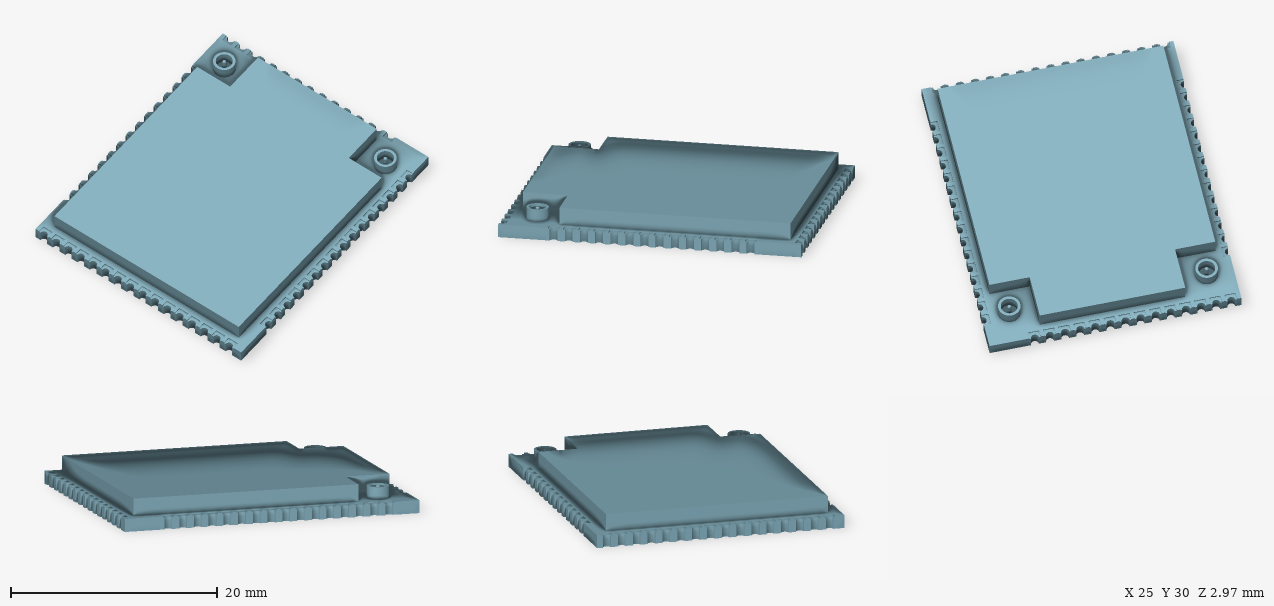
import cadquery as cq

BOARD_WIDTH = 25.0
BOARD_LENGTH = 30.0
BOARD_THICKNESS = 1.3
TOTAL_HEIGHT = 2.97
HALF_WIDTH = BOARD_WIDTH / 2
HALF_LENGTH = BOARD_LENGTH / 2

SHIELD_SIDE_MARGIN = 1.3
SHIELD_END_MARGIN = 1.32
SHIELD_HEIGHT = TOTAL_HEIGHT - BOARD_THICKNESS
SHIELD_CUT_WIDTH = 4.0
SHIELD_CUT_LENGTH = 4.47

CONNECTOR_SIDE_OFFSET = 2.7
CONNECTOR_REAR_OFFSET = 3.33
CONNECTOR_DIAMETER = 2.2
CONNECTOR_BORE_DIAMETER = 1.65
CONNECTOR_HEIGHT = 1.17
PIN_DIAMETER = 0.4
PIN_HEIGHT = CONNECTOR_HEIGHT
PIN_TIP_RADIUS = 0.12

PAD_PITCH = 1.5
PAD_WIDTH = 1.1
PAD_LENGTH = 0.7
PAD_RECESS = 0.12
NOTCH_RADIUS = 0.4
SHORT_ROW_COUNT = 14
LONG_ROW_COUNT = 16
END_ROW_FIRST_OFFSET = 1.0
LEFT_ROW_FIRST_OFFSET = 5.0
RIGHT_ROW_FIRST_OFFSET = 4.45


def row_positions(first, count):
    """Pad centres along one edge."""
    return [first + PAD_PITCH * i for i in range(count)]


def pad_centres():
    """Points on the board edges: those on the left and right, then those on the front and rear."""
    left = row_positions(LEFT_ROW_FIRST_OFFSET - HALF_LENGTH, SHORT_ROW_COUNT)
    right = row_positions(RIGHT_ROW_FIRST_OFFSET - HALF_LENGTH, LONG_ROW_COUNT)
    front = row_positions(END_ROW_FIRST_OFFSET - HALF_WIDTH, LONG_ROW_COUNT)
    rear = row_positions(END_ROW_FIRST_OFFSET - HALF_WIDTH, SHORT_ROW_COUNT)
    on_sides = [(-HALF_WIDTH, y) for y in left] + [(HALF_WIDTH, y) for y in right]
    on_ends = [(x, -HALF_LENGTH) for x in front] + [(x, HALF_LENGTH) for x in rear]
    return on_sides, on_ends


def make_board():
    """Flat board with recessed pads and half-round notches along its edges."""
    on_sides, on_ends = pad_centres()
    recess_plane = cq.Workplane("XY").workplane(offset=BOARD_THICKNESS - PAD_RECESS)
    side_recesses = recess_plane.pushPoints(on_sides).rect(2 * PAD_LENGTH, PAD_WIDTH).extrude(PAD_RECESS)
    end_recesses = recess_plane.pushPoints(on_ends).rect(PAD_WIDTH, 2 * PAD_LENGTH).extrude(PAD_RECESS)
    notches = cq.Workplane("XY").pushPoints(on_sides + on_ends).circle(NOTCH_RADIUS).extrude(BOARD_THICKNESS)
    board = cq.Workplane("XY").box(BOARD_WIDTH, BOARD_LENGTH, BOARD_THICKNESS, centered=(True, True, False))
    return board.cut(side_recesses).cut(end_recesses).cut(notches)


def make_shield():
    """T-shaped block on top of the board."""
    side = HALF_WIDTH - SHIELD_SIDE_MARGIN
    end = HALF_LENGTH - SHIELD_END_MARGIN
    neck = side - SHIELD_CUT_WIDTH
    shoulder = end - SHIELD_CUT_LENGTH
    outline = [
        (-side, -end),
        (side, -end),
        (side, shoulder),
        (neck, shoulder),
        (neck, end),
        (-neck, end),
        (-neck, shoulder),
        (-side, shoulder),
    ]
    return cq.Workplane("XY").workplane(offset=BOARD_THICKNESS).polyline(outline).close().extrude(SHIELD_HEIGHT)


def make_connectors():
    """Two cups with centre pins, mirrored about the middle of the board."""
    x = HALF_WIDTH - CONNECTOR_SIDE_OFFSET
    y = HALF_LENGTH - CONNECTOR_REAR_OFFSET
    base = cq.Workplane("XY").workplane(offset=BOARD_THICKNESS).pushPoints([(-x, y), (x, y)])
    cups = base.circle(CONNECTOR_DIAMETER / 2).circle(CONNECTOR_BORE_DIAMETER / 2).extrude(CONNECTOR_HEIGHT)
    pins = base.circle(PIN_DIAMETER / 2).extrude(PIN_HEIGHT)
    pins = pins.faces(">Z").edges().fillet(PIN_TIP_RADIUS)
    return cups, pins


cups, pins = make_connectors()
result = make_board().union(make_shield()).union(cups).union(pins)